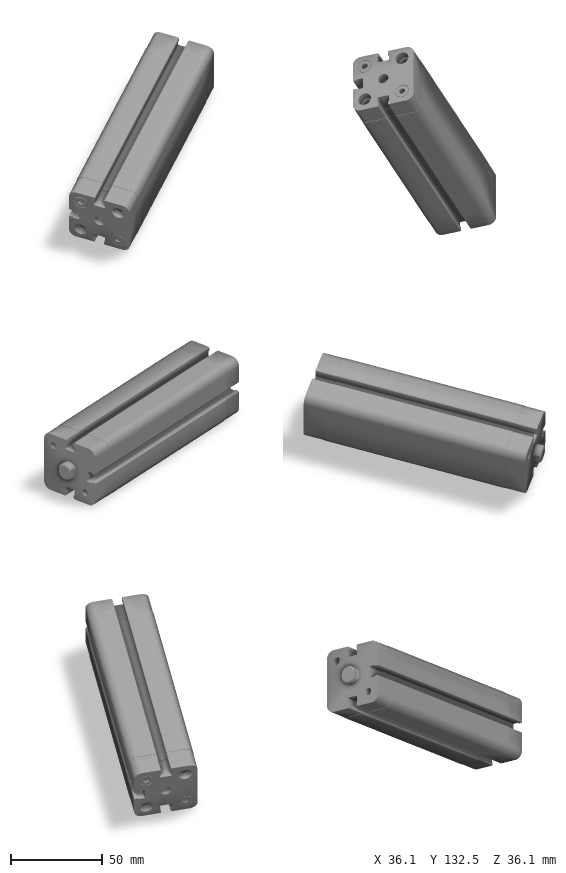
import cadquery as cq

cap_length = 12.0
tube_length = 104.0
housing_length = tube_length + 2 * cap_length
rod_length = 4.5

tube_width = 36.1
cap_width = 35.7
flat_half_width = 13.4

slot_opening = 5.4
slot_inner_width = 6.6
tube_slot_floor = 12.1
cap_slot_floor = 11.8
slot_shelf_height = 15.7
lip_radius = 0.6
floor_radius = 0.4
slot_directions = (0, 90, 180)

hole_offset = 11.0
through_diameter = 4.13
counterbore_diameter = 7.5
counterbore_depth = 4.6
centre_hole_diameter = 6.0
centre_hole_depth = 6.0

screw_recess_diameter = 8.0
screw_head_diameter = 7.5
screw_gap_depth = 1.0
socket_corner_diameter = 3.8
socket_sides = 6
socket_depth = 3.0

rod_diameter = 10.0
rod_across_flats = 8.0
rod_tip_radius = 1.3
rod_run_out = 1.0


def along_y(start):
    """Sketch plane facing +Y with its local x along -X and local y along +Z."""
    return cq.Workplane(cq.Plane(origin=(0, start, 0), xDir=(-1, 0, 0), normal=(0, 1, 0)))


def rounded_bar(width, start, length):
    """Square bar whose corner rounds leave the same flats on every section."""
    corner_radius = width / 2 - flat_half_width
    return along_y(start).rect(width, width).extrude(length).edges("|Y").fillet(corner_radius)


def t_slot(width, floor_height, start, length):
    """Cutter for the +Z slot with rounded lips and a small round along each floor edge."""
    top = width / 2
    opening = slot_opening / 2
    cavity = (
        along_y(start)
        .center(0, (floor_height + slot_shelf_height) / 2)
        .rect(slot_inner_width, slot_shelf_height - floor_height)
        .extrude(length)
        .edges("|Y and <Z")
        .fillet(floor_radius)
    )
    mouth = (
        along_y(start)
        .moveTo(-opening, floor_height + floor_radius)
        .lineTo(-opening, top - lip_radius)
        .radiusArc((-opening - lip_radius, top), -lip_radius)
        .lineTo(opening + lip_radius, top)
        .radiusArc((opening, top - lip_radius), -lip_radius)
        .lineTo(opening, floor_height + floor_radius)
        .close()
        .extrude(length)
    )
    return cavity.union(mouth)


def slotted_section(width, floor_height, start, length):
    section = rounded_bar(width, start, length)
    slot = t_slot(width, floor_height, start, length)
    for angle in slot_directions:
        section = section.cut(slot.rotate((0, 0, 0), (0, 1, 0), -angle))
    return section


def make_housing():
    front_cap = slotted_section(cap_width, cap_slot_floor, 0, cap_length)
    tube = slotted_section(tube_width, tube_slot_floor, cap_length, tube_length)
    rear_cap = slotted_section(cap_width, cap_slot_floor, cap_length + tube_length, cap_length)
    return front_cap.union(tube).union(rear_cap)


def bore(x, z, diameter, depth):
    return along_y(0).center(-x, z).circle(diameter / 2).extrude(depth)


def mounting_hole(x, z):
    """Counterbored hole through the full housing."""
    counterbore = bore(x, z, counterbore_diameter, counterbore_depth)
    return counterbore.union(bore(x, z, through_diameter, housing_length))


def screw_cut(x, z):
    """Gap around a flush screw head, together with its hexagon socket."""
    gap = bore(x, z, screw_recess_diameter, screw_gap_depth)
    gap = gap.cut(bore(x, z, screw_head_diameter, screw_gap_depth))
    socket = (
        along_y(0)
        .center(-x, z)
        .transformed(rotate=(0, 0, 90))
        .polygon(socket_sides, socket_corner_diameter)
        .extrude(socket_depth)
    )
    return gap.union(socket)


def make_rod():
    radius = rod_diameter / 2
    flat = rod_across_flats / 2
    rod = (
        cq.Workplane("XY")
        .lineTo(radius, 0)
        .lineTo(radius, rod_length - rod_tip_radius)
        .radiusArc((radius - rod_tip_radius, rod_length), -rod_tip_radius)
        .lineTo(0, rod_length)
        .close()
        .revolve(360, (0, 0, 0), (0, 1, 0))
    )
    flats_profile = (
        cq.Workplane("XY")
        .moveTo(-flat - rod_run_out, 0)
        .lineTo(-flat, rod_run_out)
        .lineTo(-flat, rod_length)
        .lineTo(flat, rod_length)
        .lineTo(flat, rod_run_out)
        .lineTo(flat + rod_run_out, 0)
        .close()
        .extrude(radius, both=True)
    )
    return rod.intersect(flats_profile).translate((0, housing_length, 0))


result = make_housing()
for side in (-1, 1):
    result = result.cut(mounting_hole(side * hole_offset, side * hole_offset))
    result = result.cut(screw_cut(side * hole_offset, -side * hole_offset))
result = result.cut(bore(0, 0, centre_hole_diameter, centre_hole_depth))
result = result.union(make_rod())